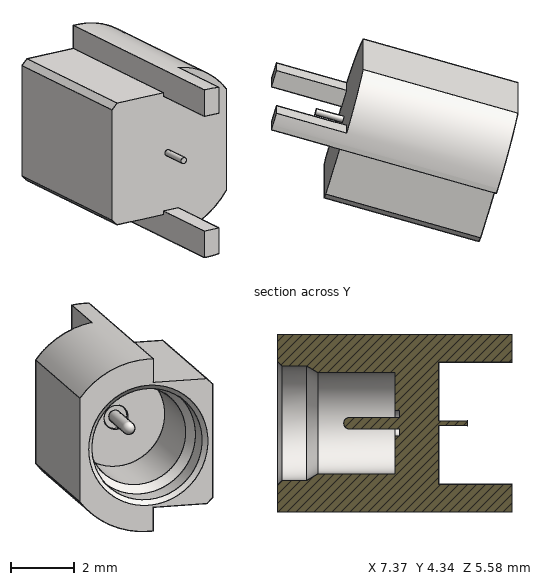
import cadquery as cq

total_length = 7.37
body_length = 5.07
shell_radius = 2.79
back_y = 2.23
front_y = -2.11
body_half_height = 2.03
edge_chamfer = 0.19

leg_front_y = -0.16
leg_back_y = 0.4
leg_inner_z = 1.91

mouth_radius = 1.945
bore_radius = 1.8
floor_radius = 1.585
mouth_depth = 0.15
seat_start = 0.915
seat_end = 1.275
socket_depth = 3.685

recess_radius = 0.39
recess_depth = 0.15
contact_radius = 0.2
contact_start = 2.06
tail_radius = 0.1
tail_end = 5.97


def box(x_range, y_range, z_range):
    """Box spanning the given (low, high) ranges."""
    sizes = [high - low for low, high in (x_range, y_range, z_range)]
    corner = (x_range[0], y_range[0], z_range[0])
    return cq.Workplane("XY").box(*sizes, centered=False).translate(corner)


def rod(radius, start, end):
    """Cylinder on the X axis."""
    return cq.Workplane("YZ").workplane(offset=start).circle(radius).extrude(end - start)


def crown(length):
    """Round rear half of the shell with a flat-topped strip in front of it."""
    half_disc = rod(shell_radius, 0, length).intersect(
        box((0, length), (0, back_y), (-shell_radius, shell_radius))
    )
    strip = box((0, length), (leg_front_y, 0), (-shell_radius, shell_radius))
    return half_disc.union(strip)


def housing():
    front_block = box(
        (0, body_length), (front_y, 0), (-body_half_height, body_half_height)
    )
    front_block = front_block.edges("|X and <Y").chamfer(edge_chamfer)
    return crown(body_length).union(front_block)


def leg(side):
    """Leg above (side = 1) or below (side = -1) the axis."""
    z_range = sorted((side * leg_inner_z, side * shell_radius))
    envelope = box((body_length, total_length), (leg_front_y, leg_back_y), z_range)
    return crown(total_length).intersect(envelope)


def socket():
    """Stepped bore with the contact recess in its floor."""
    recess_end = socket_depth + recess_depth
    profile = [
        (0, 0),
        (0, mouth_radius),
        (mouth_depth, bore_radius),
        (seat_start, bore_radius),
        (seat_end, floor_radius),
        (socket_depth, floor_radius),
        (socket_depth, recess_radius),
        (recess_end, recess_radius),
        (recess_end, 0),
    ]
    return cq.Workplane("XY").polyline(profile).close().revolve(360, (0, 0, 0), (1, 0, 0))


def contact():
    """Pin with a hemispherical tip and a thinner tail out of the rear."""
    tip_center = contact_start + contact_radius
    tip = cq.Workplane("XY").sphere(contact_radius).translate((tip_center, 0, 0))
    pin = rod(contact_radius, tip_center, body_length)
    return pin.union(tip).union(rod(tail_radius, body_length, tail_end))


result = housing().union(leg(1)).union(leg(-1)).cut(socket()).union(contact())